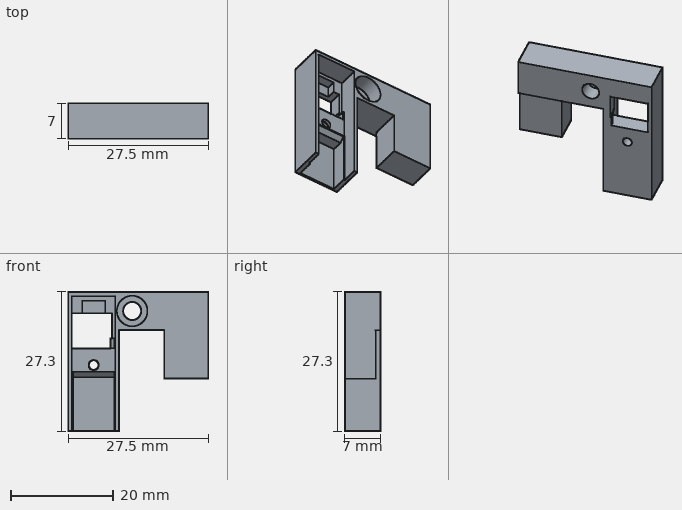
import cadquery as cq
length = 27.5
depth = 7.0
height = 27.3

column_width = 10.0
bridge_height = 7.5
foot_width = 8.7
foot_height = 17.0
foot_depth = 6.0
bridge_bottom = height - bridge_height
foot_left = length - foot_width
foot_bottom = height - foot_height

wall = 0.75
top_wall = 0.85
pocket_depth = 3.5
lower_pocket_depth = 3.3
pocket_left = wall
pocket_right = column_width - wall
pocket_top = height - top_wall
column_center = column_width / 2

window_top = height - 4.2
window_bottom = height - 11.1
window_right = 8.55
upper_pocket_depth = 4.2
upper_pocket_bottom = height - 9.1

relief_front_right = 9.0
relief_back_right = 8.3
relief_taper_start = 5.3
relief_taper_end = relief_taper_start + relief_front_right - relief_back_right

notch_width = 4.5
notch_height = 2.5
notch_depth = 6.0

recess_margin = 0.23
recess_depth = 6.6
recess_front_top = 11.65
recess_back_top = 10.6
recess_chamfer_end = lower_pocket_depth + recess_front_top - recess_back_top
recess_left = pocket_left + recess_margin
recess_right = pocket_right - recess_margin

pin_hole_z = 12.95
pin_entry_diameter = 2.0
pin_entry_depth = 0.7
pin_hole_diameter = 1.85

screw_x = 12.55
screw_z = height - bridge_height / 2
screw_diameter = 3.5
screw_head_diameter = 6.0
screw_head_depth = 3.5


def box(x_min, x_max, y_min, y_max, z_min, z_max):
    """Axis-aligned box between the given limits."""
    size = (x_max - x_min, y_max - y_min, z_max - z_min)
    return cq.Workplane("XY").box(*size, centered=False).translate((x_min, y_min, z_min))


def bore(x, z, diameter, y_min, y_max):
    """Cylinder along Y between the given depths."""
    axis_start = cq.Vector(x, y_min, z)
    solid = cq.Solid.makeCylinder(diameter / 2, y_max - y_min, axis_start, cq.Vector(0, 1, 0))
    return cq.Workplane(obj=solid)


def make_body():
    """Column, bridge and foot forming an uneven inverted U."""
    column = box(0, column_width, 0, depth, 0, height)
    bridge = box(0, length, 0, depth, bridge_bottom, height)
    foot = box(foot_left, length, 0, foot_depth, foot_bottom, height)
    return column.union(bridge).union(foot)


def make_pocket():
    """Front pocket deepening upward in steps, with the notch above the window."""
    lower = box(pocket_left, pocket_right, 0, lower_pocket_depth, 0, recess_front_top)
    main = box(pocket_left, pocket_right, 0, pocket_depth, recess_front_top, pocket_top)
    upper = box(pocket_left, pocket_right, 0, upper_pocket_depth, upper_pocket_bottom, pocket_top)
    notch_left = column_center - notch_width / 2
    notch = box(
        notch_left, notch_left + notch_width,
        0, notch_depth,
        window_top, window_top + notch_height,
    )
    return lower.union(main).union(upper).union(notch)


def make_window():
    """Through window with the tapered side relief at its lower right."""
    window = box(pocket_left, window_right, 0, depth, upper_pocket_bottom, window_top)
    relief = (
        cq.Workplane("XY", origin=(0, 0, window_bottom))
        .moveTo(pocket_left, 0)
        .lineTo(relief_front_right, 0)
        .lineTo(relief_front_right, relief_taper_start)
        .lineTo(relief_back_right, relief_taper_end)
        .lineTo(relief_back_right, depth)
        .lineTo(pocket_left, depth)
        .close()
        .extrude(upper_pocket_bottom - window_bottom)
    )
    return window.union(relief)


def make_recess():
    """Lower recess with a level ceiling and a 45 degree chamfer up to the pocket floor."""
    return (
        cq.Workplane("YZ", origin=(recess_left, 0, 0))
        .moveTo(0, 0)
        .lineTo(recess_depth, 0)
        .lineTo(recess_depth, recess_back_top)
        .lineTo(recess_chamfer_end, recess_back_top)
        .lineTo(lower_pocket_depth, recess_front_top)
        .lineTo(0, recess_front_top)
        .close()
        .extrude(recess_right - recess_left)
    )


def make_pin_hole():
    """Stepped hole through the block between window and recess."""
    entry_end = pocket_depth + pin_entry_depth
    entry = bore(column_center, pin_hole_z, pin_entry_diameter, pocket_depth, entry_end)
    through = bore(column_center, pin_hole_z, pin_hole_diameter, pocket_depth, depth)
    return entry.union(through)


def make_screw_hole():
    """Through hole counterbored from the front."""
    head = bore(screw_x, screw_z, screw_head_diameter, 0, screw_head_depth)
    through = bore(screw_x, screw_z, screw_diameter, 0, depth)
    return head.union(through)


result = (
    make_body()
    .cut(make_pocket())
    .cut(make_window())
    .cut(make_recess())
    .cut(make_pin_hole())
    .cut(make_screw_hole())
)